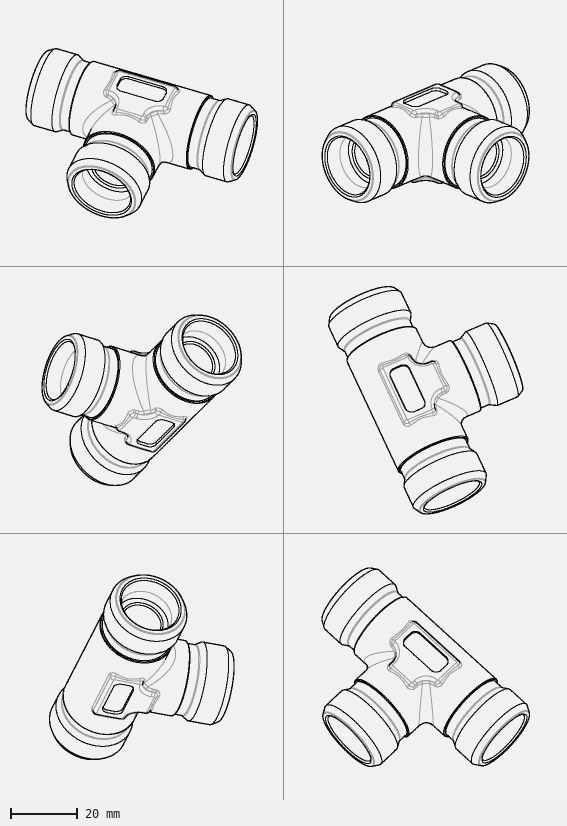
import cadquery as cq
import math

arm_length = 33.0
thread_radius = 24.0 / 2
body_radius = 23.0 / 2
neck_radius = 21.6 / 2

bevel_angle = math.radians(30)
bevel_length = (thread_radius - neck_radius) / math.tan(bevel_angle)
thread_end = 8.85
neck_end = 14.0
neck_fillet = 0.65
end_round = 0.3
body_chamfer = 0.25

bore_radius = 12.0 / 2
socket_radius = 16.25 / 2
cone_mouth_radius = 9.05
mouth_chamfer = 0.5
cone_half_angle = math.radians(12)
cone_end = mouth_chamfer + (cone_mouth_radius - socket_radius) / math.tan(cone_half_angle)
socket_depth = 8.5
bore_chamfer = 0.5

crotch_fillet = 3.0
blend_half_height = 10.9

small_gap = 0.05
contact_tolerance = 0.0005

pad_height = 11.9
pad_base = 7.9
pad_half_width = 9.95
pad_half_depth = 5.1
stem_half_width = 5.1
stem_end = 11.1
pad_corner = 1.2
pad_inner_corner = 3.95
pad_edge_round = 1.0
pad_foot_fillet = 0.85

panel_length = 14.85
panel_width = 6.2
panel_corner = 2.0
panel_depth = 1.0

arm_angles = (0, 180, -90)


def revolve_about_x(profile):
    """Close a half profile and revolve it about the X axis."""
    return profile.close().revolve(360, (0, 0, 0), (1, 0, 0))


def circle_selector(x, radius):
    """Select the circular edge of the given radius around the X axis at x."""
    reach = radius + small_gap
    return cq.selectors.BoxSelector(
        (x - small_gap, -reach, -reach),
        (x + small_gap, reach, reach),
        boundingbox=True,
    )


def arm_outside():
    """Threaded end and relief neck of the arm pointing along +X."""
    taper_end = thread_end + bevel_length
    solid = revolve_about_x(
        cq.Workplane("XY")
        .moveTo(0, 0)
        .lineTo(arm_length, 0)
        .lineTo(arm_length, neck_radius)
        .lineTo(arm_length - bevel_length, thread_radius)
        .lineTo(arm_length - thread_end, thread_radius)
        .lineTo(arm_length - taper_end, neck_radius)
        .lineTo(0, neck_radius)
    )
    taper_foot = circle_selector(arm_length - taper_end, neck_radius)
    end_rim = circle_selector(arm_length, neck_radius)
    return solid.edges(taper_foot).fillet(neck_fillet).edges(end_rim).fillet(end_round)


def arm_bore():
    """Stepped bore of the arm pointing along +X."""
    shoulder = arm_length - socket_depth
    return revolve_about_x(
        cq.Workplane("XY")
        .moveTo(0, 0)
        .lineTo(arm_length, 0)
        .lineTo(arm_length, cone_mouth_radius + mouth_chamfer)
        .lineTo(arm_length - mouth_chamfer, cone_mouth_radius)
        .lineTo(arm_length - cone_end, socket_radius)
        .lineTo(shoulder, socket_radius)
        .lineTo(shoulder, bore_radius + bore_chamfer)
        .lineTo(shoulder - bore_chamfer, bore_radius)
        .lineTo(0, bore_radius)
    )


def body():
    """Plain run and branch cylinders with the crotch blends between them."""
    half_length = arm_length - neck_end
    run = cq.Workplane("YZ").circle(body_radius).extrude(half_length, both=True)
    branch = cq.Workplane("XZ").circle(body_radius).extrude(half_length)
    run = run.faces("<X or >X").chamfer(body_chamfer)
    branch = branch.faces("<Y").chamfer(body_chamfer)
    tee = run.union(branch)
    slab = cq.Workplane("XY").box(2 * arm_length, 2 * arm_length, 2 * blend_half_height)
    crotch_edges = cq.selectors.BoxSelector(
        (-body_radius, -body_radius, -blend_half_height),
        (body_radius, 0, blend_half_height),
    )
    blended = tee.intersect(slab).edges("%ELLIPSE").edges(crotch_edges).fillet(crotch_fillet)
    return tee.union(blended)


def pad():
    """Top pad block with rounded edges, and the recess for its label panel."""
    outline = [
        (-pad_half_width, pad_half_depth),
        (pad_half_width, pad_half_depth),
        (pad_half_width, -pad_half_depth),
        (stem_half_width, -pad_half_depth),
        (stem_half_width, -stem_end),
        (-stem_half_width, -stem_end),
        (-stem_half_width, -pad_half_depth),
        (-pad_half_width, -pad_half_depth),
    ]
    base = cq.Workplane("XY", origin=(0, 0, pad_base))
    block = base.polyline(outline).close().extrude(pad_height - pad_base)
    inner_corners = cq.selectors.BoxSelector(
        (-stem_half_width - small_gap, -pad_half_depth - small_gap, 0),
        (stem_half_width + small_gap, -pad_half_depth + small_gap, pad_height),
    )
    upright = cq.selectors.ParallelDirSelector(cq.Vector(0, 0, 1))
    outer_corners = upright - inner_corners
    block = block.edges(outer_corners).fillet(pad_corner)
    block = block.edges("|Z").edges(inner_corners).fillet(pad_inner_corner)
    block = block.faces(">Z").edges().fillet(pad_edge_round)
    panel = (
        cq.Workplane("XY", origin=(0, 0, pad_height - panel_depth))
        .rect(panel_length, panel_width)
        .extrude(panel_depth)
        .edges("|Z")
        .fillet(panel_corner)
    )
    return block, panel


def turned(solid, angle):
    """Rotate a feature about the Z axis."""
    return solid.rotate((0, 0, 0), (0, 0, 1), angle)


def lies_on_surface(edge, solid):
    """Tell whether the middle of an edge lies on the skin of a solid."""
    middle = cq.Vertex.makeVertex(*edge.positionAt(0.5).toTuple())
    return min(face.distance(middle) for face in solid.faces().vals()) < contact_tolerance


def add_pad(tee, block):
    """Join a pad to the tee and fillet the seam around its foot."""
    joined = tee.union(block)
    seam = joined.edges().filter(lambda edge: lies_on_surface(edge, tee) and lies_on_surface(edge, block))
    return seam.fillet(pad_foot_fillet)


pad_block, panel_recess = pad()
result = add_pad(body(), pad_block)
result = add_pad(result, pad_block.mirror("XY"))
result = result.cut(panel_recess).cut(panel_recess.mirror("XY"))
for angle in arm_angles:
    result = result.union(turned(arm_outside(), angle))
for angle in arm_angles:
    result = result.cut(turned(arm_bore(), angle))